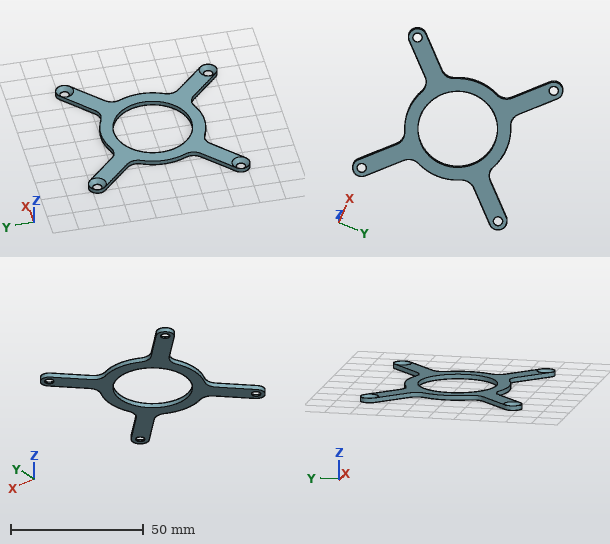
import cadquery as cq
import math

overall_size = 62.3
thickness = 1.8
ring_outer_diameter = 40.0
ring_inner_diameter = 29.95
arm_width = 6.85
root_fillet_radius = 5.0
screw_hole_diameter = 3.4
countersink_diameter = 6.7
countersink_angle = 90.0

screw_offset = (overall_size - arm_width) / 2
arm_reach = screw_offset * math.sqrt(2)
arm_angles = (45, 135)


def arm_pair(angle):
    """Round-ended bar through the centre, forming two opposite arms."""
    bar_length = 2 * arm_reach + arm_width
    return (
        cq.Workplane("XY")
        .transformed(rotate=(0, 0, angle))
        .slot2D(bar_length, arm_width)
        .extrude(thickness)
    )


def root_edges():
    """Box selector holding only the vertical edges where arms meet the ring."""
    reach = ring_outer_diameter / 2
    return cq.selectors.BoxSelector((-reach, -reach, 0), (reach, reach, thickness))


body = cq.Workplane("XY").circle(ring_outer_diameter / 2).extrude(thickness)
for angle in arm_angles:
    body = body.union(arm_pair(angle))
body = body.edges("|Z").edges(root_edges()).fillet(root_fillet_radius)

opening = cq.Workplane("XY").circle(ring_inner_diameter / 2).extrude(thickness)
body = body.cut(opening)

result = (
    body.faces(">Z")
    .workplane(origin=(0, 0, thickness))
    .rect(2 * screw_offset, 2 * screw_offset, forConstruction=True)
    .vertices()
    .cskHole(screw_hole_diameter, countersink_diameter, countersink_angle)
)